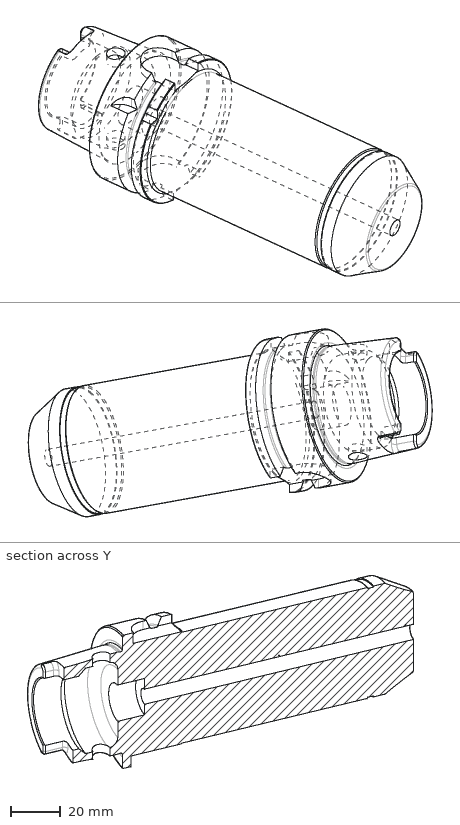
import cadquery as cq
import math


SHANK_LENGTH = 32.0
TAPER_RATE = 0.1
GAUGE_DISTANCE = 6.3
GAUGE_DIAMETER = 48.01
TAPER_END_X = -2.2
NECK_DIAMETER = 48.04
NECK_START_X = -1.25
NECK_END_X = -0.7
FACE_RELIEF_DEPTH = 0.15
FACE_RELIEF_INNER_DIAMETER = 49.2
FACE_RELIEF_OUTER_DIAMETER = 51.5
TIP_FILLET = 1.4

FLANGE_DIAMETER = 63.0
FLANGE_WIDTH = 26.0
FLANGE_CHAMFER = 0.5
FLANGE_REAR_CHAMFER = 0.3
GRIPPER_GROOVE_X = 17.9
GRIPPER_GROOVE_DIAMETER = 55.0
GRIPPER_GROOVE_TOP_WIDTH = 6.8
GRIPPER_GROOVE_BASE_WIDTH = 3.2
GRIPPER_GROOVE_FILLET = 0.7

BODY_DIAMETER = 52.5
BODY_FILLET = 1.0
NOSE_X = 130.0
NOSE_CONE_LENGTH = 12.8
NOSE_ANGLE = 30.0
NOSE_FILLET = 1.0
RING_GROOVE_DIAMETER = 51.5
RING_GROOVE_START_X = 109.2
RING_GROOVE_END_X = 112.1

MOUTH_DIAMETER = 34.0
MOUTH_CHAMFER = 0.5
MOUTH_LENGTH = 12.7
CHAMBER_DIAMETER = 40.0
CHAMBER_FLOOR_X = -2.0
CHAMBER_FILLET = 4.0
TUBE_BORE_DIAMETER = 16.92
TUBE_BORE_DEPTH = 12.0
THROUGH_HOLE_DIAMETER = 6.92

RADIAL_HOLE_DIAMETER = 7.5
RADIAL_HOLE_X = -9.2

DRIVE_SLOT_WIDTH = 12.54
DRIVE_SLOT_EDGE_RADIUS = 2.2
DRIVE_SLOT_MOUTH_CHAMFER = 0.8
DRIVE_SLOT_CORNER_RADIUS = 1.6
TOP_DRIVE_SLOT_DEPTH = 6.0
BOTTOM_DRIVE_SLOT_DEPTH = 10.0

KEYWAY_FLOOR = 26.5
ROUND_END_CENTER_X = 13.0
TOP_KEYWAY_WIDTH = 16.0
BOTTOM_KEYWAY_WIDTH = 18.0

NOTCH_DEPTH = 20.0
NOTCH_END_RADIUS = 8.0

flange_radius = FLANGE_DIAMETER / 2
body_radius = BODY_DIAMETER / 2
tip_x = -SHANK_LENGTH


def taper_radius(x):
    """Radius of the shank taper at a position along the axis."""
    return (GAUGE_DIAMETER + TAPER_RATE * (x + GAUGE_DISTANCE)) / 2


def revolve_about_x(profile):
    """Turn a closed profile, drawn in X and radius, about the X axis."""
    return profile.close().revolve(360, (0, 0, 0), (1, 0, 0))


def turned_blank():
    """Outside of the shank, flange and body as one turned solid."""
    neck_radius = NECK_DIAMETER / 2
    groove_radius = GRIPPER_GROOVE_DIAMETER / 2
    half_top = GRIPPER_GROOVE_TOP_WIDTH / 2
    half_base = GRIPPER_GROOVE_BASE_WIDTH / 2
    ring_radius = RING_GROOVE_DIAMETER / 2
    ring_depth = body_radius - ring_radius
    cone_start_x = NOSE_X - NOSE_CONE_LENGTH
    nose_radius = body_radius - NOSE_CONE_LENGTH * math.tan(math.radians(NOSE_ANGLE))
    neck_arc_run = FACE_RELIEF_DEPTH - NECK_END_X
    neck_arc_rise = FACE_RELIEF_INNER_DIAMETER / 2 - neck_radius
    neck_arc_radius = (neck_arc_run**2 + neck_arc_rise**2) / (2 * neck_arc_rise)

    profile = (
        cq.Workplane("XY")
        .moveTo(tip_x, 0)
        .lineTo(tip_x, taper_radius(tip_x))
        .lineTo(TAPER_END_X, taper_radius(TAPER_END_X))
        .lineTo(NECK_START_X, neck_radius)
        .lineTo(NECK_END_X, neck_radius)
        .radiusArc((FACE_RELIEF_DEPTH, FACE_RELIEF_INNER_DIAMETER / 2), -neck_arc_radius)
        .lineTo(0, FACE_RELIEF_OUTER_DIAMETER / 2)
        .lineTo(0, flange_radius - FLANGE_CHAMFER)
        .lineTo(FLANGE_CHAMFER, flange_radius)
        .lineTo(GRIPPER_GROOVE_X - half_top, flange_radius)
        .lineTo(GRIPPER_GROOVE_X - half_base, groove_radius)
        .lineTo(GRIPPER_GROOVE_X + half_base, groove_radius)
        .lineTo(GRIPPER_GROOVE_X + half_top, flange_radius)
        .lineTo(FLANGE_WIDTH - FLANGE_REAR_CHAMFER, flange_radius)
        .lineTo(FLANGE_WIDTH, flange_radius - FLANGE_REAR_CHAMFER)
        .lineTo(FLANGE_WIDTH, body_radius + BODY_FILLET)
        .radiusArc((FLANGE_WIDTH + BODY_FILLET, body_radius), -BODY_FILLET)
        .lineTo(RING_GROOVE_START_X, body_radius)
        .lineTo(RING_GROOVE_START_X + ring_depth, ring_radius)
        .lineTo(RING_GROOVE_END_X, ring_radius)
        .lineTo(RING_GROOVE_END_X, body_radius)
        .lineTo(cone_start_x, body_radius)
        .lineTo(NOSE_X, nose_radius)
        .lineTo(NOSE_X, 0)
    )
    blank = revolve_about_x(profile)
    groove_base_edges = cq.selectors.BoxSelector(
        (GRIPPER_GROOVE_X - GRIPPER_GROOVE_BASE_WIDTH, -flange_radius, -flange_radius),
        (GRIPPER_GROOVE_X + GRIPPER_GROOVE_BASE_WIDTH, flange_radius, flange_radius),
        boundingbox=True,
    )
    blank = blank.edges(groove_base_edges).fillet(GRIPPER_GROOVE_FILLET)
    blank = blank.faces("<X").edges().fillet(TIP_FILLET)
    return blank.faces(">X").edges().fillet(NOSE_FILLET)


def interior():
    """Clamping chamber, coolant tube bore and through hole."""
    mouth_radius = MOUTH_DIAMETER / 2
    chamber_radius = CHAMBER_DIAMETER / 2
    tube_radius = TUBE_BORE_DIAMETER / 2
    hole_radius = THROUGH_HOLE_DIAMETER / 2
    tube_end_x = CHAMBER_FLOOR_X + TUBE_BORE_DEPTH
    mouth_end_x = tip_x + MOUTH_LENGTH

    profile = (
        cq.Workplane("XY")
        .moveTo(tip_x, 0)
        .lineTo(tip_x, mouth_radius + MOUTH_CHAMFER)
        .lineTo(tip_x + MOUTH_CHAMFER, mouth_radius)
        .lineTo(mouth_end_x, mouth_radius)
        .lineTo(mouth_end_x + chamber_radius - mouth_radius, chamber_radius)
        .lineTo(CHAMBER_FLOOR_X - CHAMBER_FILLET, chamber_radius)
        .radiusArc((CHAMBER_FLOOR_X, chamber_radius - CHAMBER_FILLET), CHAMBER_FILLET)
        .lineTo(CHAMBER_FLOOR_X, tube_radius)
        .lineTo(tube_end_x, tube_radius)
        .lineTo(tube_end_x, hole_radius)
        .lineTo(NOSE_X, hole_radius)
        .lineTo(NOSE_X, 0)
    )
    return revolve_about_x(profile)


def radial_hole():
    """Clamping access hole, square to the axis and through both shank walls."""
    return (
        cq.Workplane("XY", origin=(RADIAL_HOLE_X, 0, -flange_radius))
        .circle(RADIAL_HOLE_DIAMETER / 2)
        .extrude(FLANGE_DIAMETER)
    )


def drive_slot_outline(x, growth):
    """Outline of a drive slot at a position along the axis, widened all around by a growth."""
    half_width = DRIVE_SLOT_WIDTH / 2
    shank_radius = taper_radius(tip_x)
    center_y = half_width + DRIVE_SLOT_EDGE_RADIUS
    center_z = math.sqrt((shank_radius - DRIVE_SLOT_EDGE_RADIUS) ** 2 - center_y**2)
    center_angle = math.atan2(center_z, center_y)

    edge_radius = DRIVE_SLOT_EDGE_RADIUS - growth
    wall_y = half_width + growth
    outer_y = (shank_radius - growth) * math.cos(center_angle)
    outer_z = (shank_radius - growth) * math.sin(center_angle)
    return (
        cq.Workplane("YZ", origin=(x, 0, 0))
        .moveTo(-wall_y, 0)
        .lineTo(-wall_y, center_z)
        .radiusArc((-outer_y, outer_z), -edge_radius)
        .lineTo(-outer_y, flange_radius)
        .lineTo(outer_y, flange_radius)
        .lineTo(outer_y, outer_z)
        .radiusArc((wall_y, center_z), -edge_radius)
        .lineTo(wall_y, 0)
        .close()
    )


def drive_slot(depth):
    """Cutter for a slot on the +Z side of the shank end, with rounded edges and chamfered mouth."""
    slot = drive_slot_outline(tip_x, 0).extrude(depth)
    slot = slot.faces(">X").edges("not |Y").fillet(DRIVE_SLOT_CORNER_RADIUS)
    mouth_outline = drive_slot_outline(tip_x, DRIVE_SLOT_MOUTH_CHAMFER)
    inner_outline = drive_slot_outline(tip_x + DRIVE_SLOT_MOUTH_CHAMFER, 0)
    mouth = cq.Solid.makeLoft([mouth_outline.val(), inner_outline.val()], True)
    return slot.union(cq.Workplane(mouth))


def round_ended_cutter(radius, center_y, floor_z):
    """Cutter above a floor, with a round end at -X and open across the flange end at +X."""
    run_out = FLANGE_WIDTH + BODY_FILLET
    return (
        cq.Workplane("XY", origin=(0, center_y, floor_z))
        .moveTo(ROUND_END_CENTER_X, radius)
        .lineTo(run_out, radius)
        .lineTo(run_out, -radius)
        .lineTo(ROUND_END_CENTER_X, -radius)
        .radiusArc((ROUND_END_CENTER_X, radius), radius)
        .close()
        .extrude(flange_radius)
    )


def turned_over(cutter):
    """Move a cutter from the +Z side to the -Z side."""
    return cutter.rotate((0, 0, 0), (1, 0, 0), 180)


top_keyway = round_ended_cutter(TOP_KEYWAY_WIDTH / 2, 0, KEYWAY_FLOOR)
bottom_keyway = turned_over(round_ended_cutter(BOTTOM_KEYWAY_WIDTH / 2, 0, KEYWAY_FLOOR))
index_notch = round_ended_cutter(NOTCH_END_RADIUS, -NOTCH_DEPTH - NOTCH_END_RADIUS, NOTCH_DEPTH)

result = (
    turned_blank()
    .cut(interior())
    .cut(radial_hole())
    .cut(drive_slot(TOP_DRIVE_SLOT_DEPTH))
    .cut(turned_over(drive_slot(BOTTOM_DRIVE_SLOT_DEPTH)))
    .cut(top_keyway)
    .cut(bottom_keyway)
    .cut(index_notch)
)